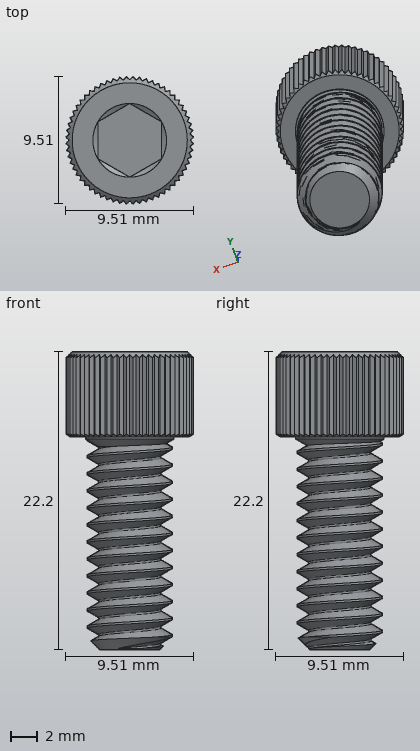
import cadquery as cq
import math

total_length = 22.23
thread_dia = 6.35
head_height = thread_dia
head_width = 9.51
shank_length = total_length - head_height

head_top_flat_dia = 8.58
bottom_chamfer_width = 0.33
bottom_chamfer_height = 0.22

ridge_count = 60
knurl_depth = 0.25
ridge_step = 2 * math.pi / ridge_count
head_dia = head_width / math.cos(ridge_step / 2)

socket_flats = 4.75
socket_depth = 3.55
socket_corners = socket_flats / math.cos(math.radians(30))
countersink_slope = math.radians(30)

thread_turns = 12.5
pitch = shank_length / thread_turns
flank_slope = math.radians(30)
root_dia = 4.7
thread_start_angle = 56.0
flank_steps = 8
tip_flat_dia = 4.45

collar_dia = 6.6
collar_height = 0.15


def polar(radius, angle):
    """XY point at a radius and an angle in radians."""
    return (radius * math.cos(angle), radius * math.sin(angle))


def knurled_head():
    """Cylinder with V-grooved side, between chamfered rims."""
    crest_radius = head_dia / 2
    root_radius = crest_radius - knurl_depth
    outline = []
    for i in range(ridge_count):
        groove_angle = i * ridge_step
        outline.append(polar(root_radius, groove_angle))
        outline.append(polar(crest_radius, groove_angle + ridge_step / 2))
    knurled_bar = (
        cq.Workplane("XY")
        .workplane(offset=shank_length)
        .polyline(outline)
        .close()
        .extrude(head_height)
    )

    top_radius = head_top_flat_dia / 2
    top_chamfer = crest_radius - top_radius
    chamfered_blank = (
        cq.Workplane("XZ")
        .moveTo(0, shank_length)
        .lineTo(crest_radius - bottom_chamfer_width, shank_length)
        .lineTo(crest_radius, shank_length + bottom_chamfer_height)
        .lineTo(crest_radius, total_length - top_chamfer)
        .lineTo(top_radius, total_length)
        .lineTo(0, total_length)
        .close()
        .revolve(360, (0, 0), (0, 1))
    )
    return knurled_bar.intersect(chamfered_blank)


def socket():
    """Hexagon with two flats facing +X and -X, plus the conical mouth."""
    hexagon = (
        cq.Workplane("XY")
        .workplane(offset=total_length - socket_depth)
        .transformed(rotate=(0, 0, 30))
        .polygon(6, socket_corners)
        .extrude(socket_depth)
    )
    mouth_radius = socket_corners / 2
    cone_depth = mouth_radius * math.tan(countersink_slope)
    mouth = (
        cq.Workplane("XZ")
        .moveTo(0, total_length)
        .lineTo(mouth_radius, total_length)
        .lineTo(0, total_length - cone_depth)
        .close()
        .revolve(360, (0, 0), (0, 1))
    )
    return hexagon.union(mouth)


def flank(start_radius, end_radius, start_angle, end_angle):
    """Points after the start of a spiral whose radius changes evenly with angle."""
    points = []
    for i in range(1, flank_steps + 1):
        share = i / flank_steps
        radius = start_radius + (end_radius - start_radius) * share
        points.append(polar(radius, start_angle + (end_angle - start_angle) * share))
    return points


def threaded_shank():
    """Right-handed thread, made by twisting its cross-section, with a 45 degree tip."""
    crest_radius = thread_dia / 2
    root_radius = root_dia / 2
    flank_angle = 2 * math.pi * (crest_radius - root_radius) * math.tan(flank_slope) / pitch
    half_flat = (math.pi - flank_angle) / 2
    root_start = math.pi - half_flat
    root_end = math.pi + half_flat
    next_crest = 2 * math.pi - half_flat
    thread = (
        cq.Workplane("XY")
        .transformed(rotate=(0, 0, thread_start_angle))
        .moveTo(*polar(crest_radius, -half_flat))
        .threePointArc(polar(crest_radius, 0), polar(crest_radius, half_flat))
        .spline(flank(crest_radius, root_radius, half_flat, root_start), includeCurrent=True)
        .threePointArc(polar(root_radius, math.pi), polar(root_radius, root_end))
        .spline(flank(root_radius, crest_radius, root_end, next_crest), includeCurrent=True)
        .close()
        .twistExtrude(shank_length, 360 * thread_turns)
    )

    tip_radius = tip_flat_dia / 2
    envelope_radius = thread_dia
    envelope = (
        cq.Workplane("XZ")
        .lineTo(tip_radius, 0)
        .lineTo(envelope_radius, envelope_radius - tip_radius)
        .lineTo(envelope_radius, shank_length)
        .lineTo(0, shank_length)
        .close()
        .revolve(360, (0, 0), (0, 1))
    )
    return thread.intersect(envelope)


def collar():
    """Short cylinder under the head that tapers to the thread root at the flank slope."""
    taper = (collar_dia - root_dia) / 2 * math.tan(flank_slope)
    rim_z = shank_length - collar_height
    return (
        cq.Workplane("XZ")
        .moveTo(0, shank_length)
        .lineTo(collar_dia / 2, shank_length)
        .lineTo(collar_dia / 2, rim_z)
        .lineTo(root_dia / 2, rim_z - taper)
        .lineTo(0, rim_z - taper)
        .close()
        .revolve(360, (0, 0), (0, 1))
    )


result = knurled_head().cut(socket()).union(collar()).union(threaded_shank())